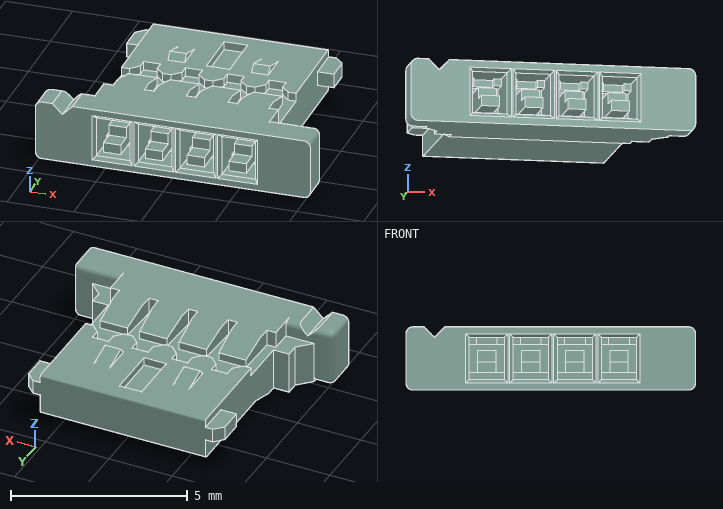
import cadquery as cq


CONTACT_COUNT = 4
PITCH = 1.25
CONTACT_XS = [(i - (CONTACT_COUNT - 1) / 2) * PITCH for i in range(CONTACT_COUNT)]
GAP_XS = [(i - (CONTACT_COUNT - 2) / 2) * PITCH for i in range(CONTACT_COUNT - 1)]

LENGTH = 6.2
HEIGHT = 1.8
DECK_Z = 1.55
FLOOR_Z = 1.3
BODY_WIDTH = 5.22
REAR_FILLET = 0.08
BELLY_RISE = 0.25
BELLY_START_Y = 2.1
BELLY_END_Y = 2.95

FLANGE_WIDTH = 8.22
FLANGE_DEPTH = 1.0
FLANGE_FILLET = 0.2
NOTCH_X = -3.3
NOTCH_DEPTH = 0.3

EAR_HALF_WIDTH = 3.1
FRONT_EAR_Y = 1.8
FRONT_EAR_FLARE = 0.4
REAR_EAR_START_Y = 5.2
REAR_EAR_BOTTOM_Z = 0.87
REAR_EAR_CHAMFER = 0.26

FINGER_ROOT_Y = 1.65
FINGER_RAMP_Y = 2.05
FINGER_TIP_Y = 2.95
TROUGH_END_Y = 3.25
GAP_ROOT_WIDTH = 0.28
GAP_TIP_WIDTH = 0.39
OUTER_FINGER_ROOT_X = 2.33
OUTER_FINGER_TIP_X = 2.3

DECK_NOTCH_WIDTH = 0.5
DECK_NOTCH_FLARE = 0.25
DECK_NOTCH_END_Y = 3.8
DECK_NOTCH_DRAFT = 0.03

NUB_XS = (-PITCH, PITCH)
NUB_WIDTH = 0.5
NUB_FRONT_Y = 4.1
NUB_PEAK_Y = 4.28
NUB_BACK_Y = 5.0
NUB_PEAK_Z = 1.75
POCKET_WIDTH = 0.7
POCKET_FRONT_Y = 4.1
POCKET_BACK_Y = 5.7
POCKET_DEPTH = 0.25

CAVITY_ROW_SHIFT = 0.06
CAVITY_WIDTH = 1.0
CAVITY_BOTTOM_Z = 0.3
CAVITY_TOP_Z = 1.5
CAVITY_DEPTH = 1.0
LEAD_IN = 0.1
INNER_BOTTOM_Z = 0.5
INNER_DEPTH = 1.5
KEYWAY_WIDTH = 0.59
KEYWAY_DEPTH = 1.25

BLOCK_WIDTH = 0.52
BLOCK_STEP_Y = 0.5
BLOCK_STEP_Z = 0.8
BLOCK_TOP_Z = 1.12


def box(x_center, width, y0, y1, z0, z1):
    return cq.Workplane("XY").box(width, y1 - y0, z1 - z0, centered=(True, False, False)).translate(
        (x_center, y0, z0)
    )


def side_profile(points, x_center, width):
    """Extrude a (Y, Z) outline symmetrically about x_center."""
    return (
        cq.Workplane("YZ").polyline(points).close().extrude(width / 2, both=True).translate((x_center, 0, 0))
    )


def plan_profile(points, z0, z1):
    """Extrude an (X, Y) outline from z0 up to z1."""
    return cq.Workplane("XY").workplane(offset=z0).polyline(points).close().extrude(z1 - z0)


def make_body():
    outline = [
        (0, 0),
        (BELLY_START_Y, 0),
        (BELLY_END_Y, BELLY_RISE),
        (LENGTH, BELLY_RISE),
        (LENGTH, DECK_Z),
        (TROUGH_END_Y, DECK_Z),
        (TROUGH_END_Y, FLOOR_Z),
        (FINGER_ROOT_Y, FLOOR_Z),
        (FINGER_ROOT_Y, HEIGHT),
        (0, HEIGHT),
    ]
    return side_profile(outline, 0, BODY_WIDTH).faces(">Y").edges("|X").fillet(REAR_FILLET)


def make_flange():
    """End plate with every edge rounded except those of the mating face and the V notch."""
    plate = box(0, FLANGE_WIDTH, 0, FLANGE_DEPTH, 0, HEIGHT)
    plate = plate.edges("|Y or >Y").fillet(FLANGE_FILLET)
    notch = [
        (NOTCH_X - NOTCH_DEPTH, HEIGHT),
        (NOTCH_X, HEIGHT - NOTCH_DEPTH),
        (NOTCH_X + NOTCH_DEPTH, HEIGHT),
    ]
    return plate.cut(cq.Workplane("XZ").polyline(notch).close().extrude(-FLANGE_DEPTH))


def make_front_ears():
    """Gussets on both sides, flaring out to meet the flange."""
    flare_x = EAR_HALF_WIDTH + FRONT_EAR_FLARE
    flare_y = FLANGE_DEPTH + FRONT_EAR_FLARE
    inside_y = FLANGE_DEPTH / 2
    outline = [
        (-flare_x, inside_y),
        (-flare_x, FLANGE_DEPTH),
        (-EAR_HALF_WIDTH, flare_y),
        (-EAR_HALF_WIDTH, FRONT_EAR_Y),
        (EAR_HALF_WIDTH, FRONT_EAR_Y),
        (EAR_HALF_WIDTH, flare_y),
        (flare_x, FLANGE_DEPTH),
        (flare_x, inside_y),
    ]
    return plan_profile(outline, 0, FLOOR_Z)


def make_rear_ears():
    ears = box(0, 2 * EAR_HALF_WIDTH, REAR_EAR_START_Y, LENGTH, REAR_EAR_BOTTOM_Z, FLOOR_Z)
    return ears.edges("|Z and >Y").chamfer(REAR_EAR_CHAMFER)


def make_fingers():
    """Row of ramped latch fingers, separated by gaps that widen towards the tips."""
    ramp = [
        (FLANGE_DEPTH, FLOOR_Z),
        (FLANGE_DEPTH, HEIGHT),
        (FINGER_RAMP_Y, HEIGHT),
        (FINGER_TIP_Y, DECK_Z),
        (FINGER_TIP_Y, FLOOR_Z),
    ]
    outer_limits = [
        (-OUTER_FINGER_ROOT_X, FINGER_ROOT_Y),
        (-OUTER_FINGER_TIP_X, FINGER_TIP_Y),
        (OUTER_FINGER_TIP_X, FINGER_TIP_Y),
        (OUTER_FINGER_ROOT_X, FINGER_ROOT_Y),
    ]
    fingers = side_profile(ramp, 0, BODY_WIDTH).intersect(plan_profile(outer_limits, FLOOR_Z, HEIGHT))
    for x in GAP_XS:
        gap = [
            (x - GAP_ROOT_WIDTH / 2, FINGER_ROOT_Y),
            (x - GAP_TIP_WIDTH / 2, FINGER_TIP_Y),
            (x + GAP_TIP_WIDTH / 2, FINGER_TIP_Y),
            (x + GAP_ROOT_WIDTH / 2, FINGER_ROOT_Y),
        ]
        fingers = fingers.cut(plan_profile(gap, FLOOR_Z, HEIGHT))
    return fingers


def make_deck_notch(x):
    """Notch with a flared mouth and a slightly drafted back wall."""
    half = DECK_NOTCH_WIDTH / 2
    mouth_half = half + DECK_NOTCH_FLARE
    throat_y = TROUGH_END_Y + DECK_NOTCH_FLARE
    outline = [
        (x - mouth_half, TROUGH_END_Y),
        (x - half, throat_y),
        (x + half, throat_y),
        (x + mouth_half, TROUGH_END_Y),
    ]
    channel = [
        (TROUGH_END_Y, FLOOR_Z),
        (DECK_NOTCH_END_Y - DECK_NOTCH_DRAFT, FLOOR_Z),
        (DECK_NOTCH_END_Y, DECK_Z),
        (TROUGH_END_Y, DECK_Z),
    ]
    return plan_profile(outline, FLOOR_Z, DECK_Z).union(side_profile(channel, x, DECK_NOTCH_WIDTH))


def make_nub(x):
    outline = [
        (NUB_FRONT_Y, FLOOR_Z),
        (NUB_FRONT_Y, DECK_Z),
        (NUB_PEAK_Y, NUB_PEAK_Z),
        (NUB_BACK_Y, DECK_Z),
        (NUB_BACK_Y, FLOOR_Z),
    ]
    return side_profile(outline, x, NUB_WIDTH)


def make_lead_in(x):
    """Tapered mouth of a cavity."""
    middle_z = (CAVITY_BOTTOM_Z + CAVITY_TOP_Z) / 2
    height = CAVITY_TOP_Z - CAVITY_BOTTOM_Z
    return (
        cq.Workplane("XZ", origin=(x, 0, middle_z))
        .rect(CAVITY_WIDTH + 2 * LEAD_IN, height + 2 * LEAD_IN)
        .workplane(offset=-LEAD_IN)
        .rect(CAVITY_WIDTH, height)
        .loft(ruled=True)
    )


def make_cavity(x):
    """Cavity with a tapered mouth, a narrower inner chamber and a keyway above it."""
    main = box(x, CAVITY_WIDTH, 0, CAVITY_DEPTH, CAVITY_BOTTOM_Z, CAVITY_TOP_Z)
    inner = box(x, CAVITY_WIDTH, 0, INNER_DEPTH, INNER_BOTTOM_Z, FLOOR_Z)
    keyway = box(x, KEYWAY_WIDTH, 0, KEYWAY_DEPTH, FLOOR_Z, CAVITY_TOP_Z)
    return main.union(inner).union(keyway).union(make_lead_in(x))


def make_block(x):
    """Stepped block standing on the inner chamber floor and reaching to the mating face."""
    tip = box(x, BLOCK_WIDTH, 0, INNER_DEPTH, INNER_BOTTOM_Z, BLOCK_STEP_Z)
    return tip.union(box(x, BLOCK_WIDTH, BLOCK_STEP_Y, INNER_DEPTH, INNER_BOTTOM_Z, BLOCK_TOP_Z))


result = make_body().union(make_flange()).union(make_front_ears()).union(make_rear_ears())
result = result.union(make_fingers())
for nub_x in NUB_XS:
    result = result.union(make_nub(nub_x))
for contact_x in CONTACT_XS:
    result = result.cut(make_deck_notch(contact_x))
    result = result.cut(make_cavity(contact_x + CAVITY_ROW_SHIFT))
    result = result.union(make_block(contact_x + CAVITY_ROW_SHIFT))
result = result.cut(box(0, POCKET_WIDTH, POCKET_FRONT_Y, POCKET_BACK_Y, DECK_Z - POCKET_DEPTH, DECK_Z))